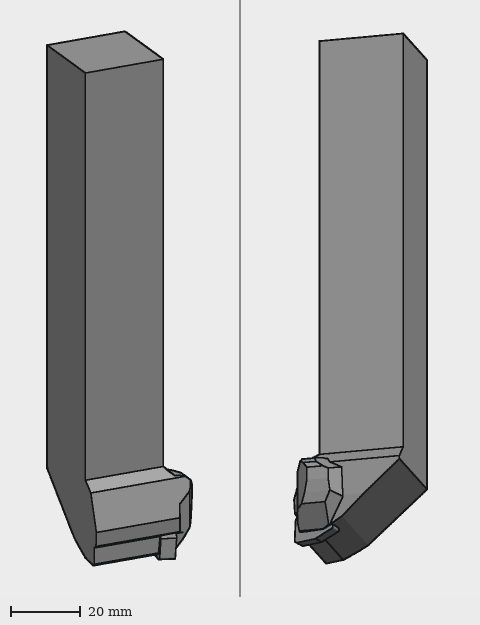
import cadquery as cq
import math

SHANK_WIDTH = 25.0
TOTAL_HEIGHT = 151.4
SHOULDER_Z = 26.2
HEEL_Z = 21.3

HEAD_BACK_Y = 28.9
HEAD_FLARE_Z = 22.2
HEAD_SIDE_X = 32.1

INSERT_EDGE = 6.5
INSERT_THICKNESS = 4.8
NOSE_RADIUS = 0.8
NOSE_ANGLE = 80.0
BLUNT_ANGLE = 160.0
FIRST_EDGE_HEADING = 175.0
INSERT_NOSE = (32.0, 20.3, 0.41)
INSERT_NORMAL = (0.1, 1.0, -0.1)

CLAMP_ROOT_Y = 25.7
CLAMP_TOP_Y = 33.5
CLAMP_LEFT_X = 15.5
CLAMP_RIGHT_X = 30.9
CLAMP_UPPER_Z = 23.9
CLAMP_TAPER = 30.0


def make_shank_and_head():
    """Blade outline in XZ, trimmed by the sloped +Y side of the head."""
    outline = (
        cq.Workplane("XZ")
        .moveTo(0, TOTAL_HEIGHT)
        .lineTo(0, HEEL_Z)
        .lineTo(17.5, 6.0)
        .lineTo(20.0, 4.7)
        .lineTo(25.0, 2.3)
        .lineTo(30.1, 1.7)
        .lineTo(30.5, 2.3)
        .lineTo(30.5, 7.3)
        .lineTo(31.8, 8.2)
        .lineTo(HEAD_SIDE_X, 12.5)
        .lineTo(28.5, 23.5)
        .lineTo(SHANK_WIDTH, SHOULDER_Z)
        .lineTo(SHANK_WIDTH, TOTAL_HEIGHT)
        .close()
    )
    blade = outline.extrude(-CLAMP_TOP_Y)
    side_profile = (
        cq.Workplane("YZ")
        .polyline([
            (0, 0),
            (25.7, 0),
            (27.2, 5.1),
            (28.5, 12.1),
            (HEAD_BACK_Y, HEAD_FLARE_Z),
            (SHANK_WIDTH, SHOULDER_Z),
            (SHANK_WIDTH, TOTAL_HEIGHT),
            (0, TOTAL_HEIGHT),
        ])
        .close()
        .extrude(HEAD_SIDE_X)
    )
    plan = (
        cq.Workplane("XY")
        .polyline([
            (0, 0),
            (HEAD_SIDE_X, 0),
            (HEAD_SIDE_X, 26.8),
            (CLAMP_RIGHT_X, 27.2),
            (30.3, HEAD_BACK_Y),
            (0, HEAD_BACK_Y),
        ])
        .close()
        .extrude(TOTAL_HEIGHT)
    )
    return blade.intersect(side_profile).intersect(plan), blade


def make_clamp(blade):
    """Tapered hump trimmed by its plan and side profiles, kept inside the blade outline."""
    hump = (
        cq.Workplane("XZ", origin=(0, CLAMP_ROOT_Y, 0))
        .polyline([
            (CLAMP_LEFT_X, 11.2),
            (CLAMP_LEFT_X, 21.5),
            (25.7, 27.0),
            (36.3, 27.0),
            (36.3, -1.5),
            (24.2, -1.5),
        ])
        .close()
        .extrude(-(CLAMP_TOP_Y - CLAMP_ROOT_Y), taper=CLAMP_TAPER)
    )
    plan = (
        cq.Workplane("XY")
        .polyline([
            (CLAMP_LEFT_X, CLAMP_ROOT_Y),
            (20.0, CLAMP_TOP_Y),
            (26.3, CLAMP_TOP_Y),
            (29.8, 31.0),
            (CLAMP_RIGHT_X, 27.2),
            (CLAMP_RIGHT_X, CLAMP_ROOT_Y),
        ])
        .close()
        .extrude(SHOULDER_Z)
    )
    side_profile = (
        cq.Workplane("YZ")
        .moveTo(CLAMP_ROOT_Y, 2.9)
        .lineTo(26.5, 3.0)
        .lineTo(32.1, 9.2)
        .lineTo(32.8, 12.3)
        .lineTo(CLAMP_TOP_Y, 15.9)
        .lineTo(CLAMP_TOP_Y, 19.7)
        .lineTo(32.5, 21.5)
        .lineTo(30.5, 23.3)
        .lineTo(28.5, CLAMP_UPPER_Z)
        .lineTo(CLAMP_ROOT_Y, CLAMP_UPPER_Z)
        .close()
        .extrude(HEAD_SIDE_X)
    )
    return hump.intersect(plan).intersect(side_profile).intersect(blade)


def trigon_corners():
    """Six corners from the leading nose, alternating sharp and blunt."""
    corners = []
    x, z = 0.0, 0.0
    heading = FIRST_EDGE_HEADING
    for corner in range(6):
        corners.append((x, z))
        x += INSERT_EDGE * math.cos(math.radians(heading))
        z += INSERT_EDGE * math.sin(math.radians(heading))
        next_is_blunt = corner % 2 == 0
        heading -= 180 - (BLUNT_ANGLE if next_is_blunt else NOSE_ANGLE)
    return corners


def make_trigon(thickness):
    """Trigon plate rising from the tilted seat, with its three sharp noses rounded."""
    seat = cq.Plane(origin=INSERT_NOSE, xDir=(-1, 0.1, 0), normal=INSERT_NORMAL)
    points = [cq.Vector(-x, z) for x, z in trigon_corners()]
    outline = cq.Wire.makePolygon(points, close=True)
    noses = [v for v in outline.Vertices() if any((v.Center() - p).Length < 0.02 for p in points[::2])]
    face = cq.Face.makeFromWires(outline).fillet2D(NOSE_RADIUS, noses)
    plate = cq.Solid.extrudeLinear(face, cq.Vector(0, 0, thickness))
    return cq.Workplane(plate.moved(cq.Location(seat)))


def make_holder(insert):
    """Shank, head and clamp in one piece, with a seat cut to fit the insert."""
    body, blade = make_shank_and_head()
    open_pocket = make_trigon(CLAMP_TOP_Y - INSERT_NOSE[1])
    return body.cut(open_pocket).union(make_clamp(blade)).cut(insert)


insert = make_trigon(INSERT_THICKNESS)
holder = make_holder(insert)
result = cq.Compound.makeCompound([*holder.vals(), *insert.vals()])